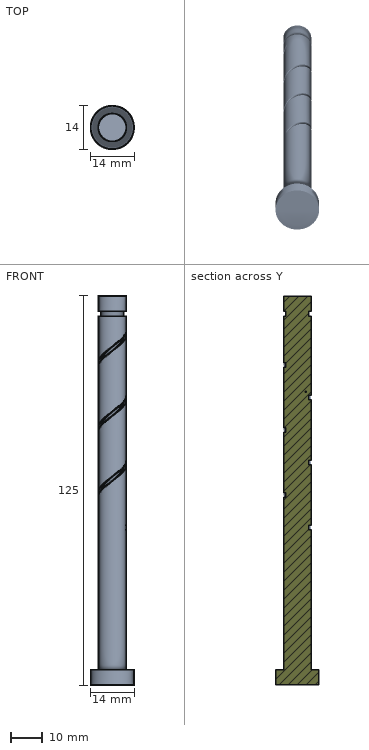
import cadquery as cq

total_length = 125.0
head_diameter = 14.0
head_height = 5.0
shaft_diameter = 9.0
shaft_radius = shaft_diameter / 2

tip_length = 5.0
ring_groove_width = 1.5
ring_groove_depth = 0.8

spiral_start_height = 50.6
spiral_pitch = 20.9
spiral_turns = 3
spiral_groove_height = 1.4
spiral_groove_depth = 0.8
cutter_overhang = 0.5


def make_pin():
    head = cq.Workplane("XY").circle(head_diameter / 2).extrude(head_height)
    shaft = cq.Workplane("XY").circle(shaft_radius).extrude(total_length)
    return head.union(shaft)


def make_ring_cutter():
    groove_bottom = total_length - tip_length - ring_groove_width
    return (
        cq.Workplane("XY")
        .workplane(offset=groove_bottom)
        .circle(shaft_radius + cutter_overhang)
        .circle(shaft_radius - ring_groove_depth)
        .extrude(ring_groove_width)
    )


def make_spiral_cutter():
    path = cq.Wire.makeHelix(spiral_pitch, spiral_pitch * spiral_turns, shaft_radius)
    inner_radius = shaft_radius - spiral_groove_depth
    outer_radius = shaft_radius + cutter_overhang
    cutter = (
        cq.Workplane("XZ")
        .center((inner_radius + outer_radius) / 2, 0)
        .rect(outer_radius - inner_radius, spiral_groove_height)
        .sweep(cq.Workplane(path), isFrenet=True)
    )
    return cutter.translate((0, 0, spiral_start_height))


result = make_pin().cut(make_ring_cutter()).cut(make_spiral_cutter())